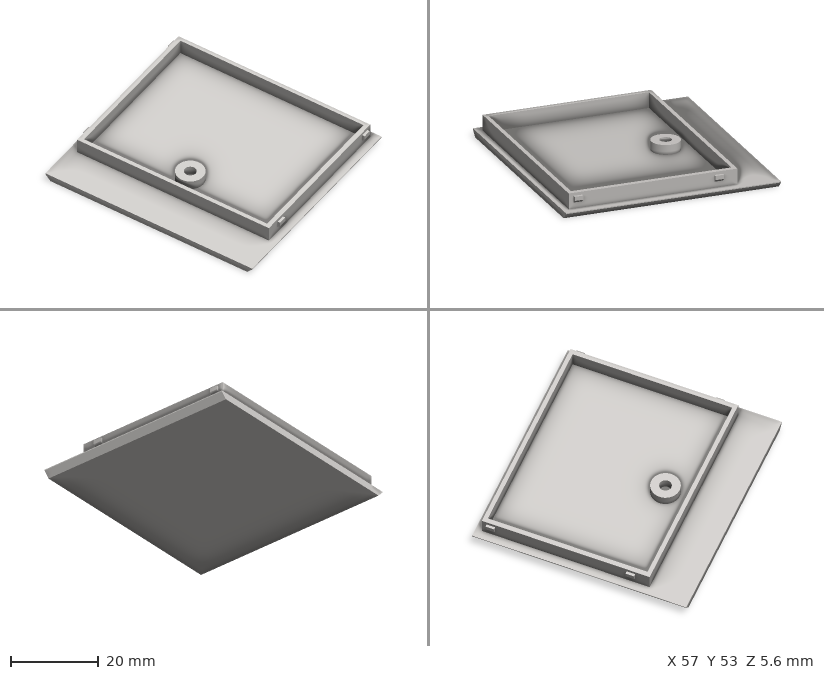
import cadquery as cq

plate_width = 57.0
plate_depth = 53.0
plate_thickness = 1.7
edge_lip = 0.2
bevel_run = 1.4

total_height = 5.6
frame_width = 52.8
frame_depth = 41.55
frame_back_margin = 1.55
side_wall = 1.2
end_wall = 1.0
frame_height = total_height - plate_thickness
frame_back = plate_depth / 2 - frame_back_margin
frame_center_y = frame_back - frame_depth / 2

tab_top_gap = 0.75
tab_back_gap = 1.2
tab_reach = 0.7
tab_length = 2.1
tab_height = 1.65
tab_face_height = 1.0
tab_top_z = total_height - tab_top_gap
back_tab_y = frame_back - tab_back_gap - tab_length / 2
tab_spacing = 34.65

boss_diameter = 7.0
boss_hole_diameter = 2.9
boss_height = 2.4
boss_back_distance = 36.0
boss_y = plate_depth / 2 - boss_back_distance


def make_plate():
    """Plate whose two side edges are bevelled towards the underside."""
    half_width = plate_width / 2
    half_bottom = half_width - bevel_run
    lip_z = plate_thickness - edge_lip
    profile = [
        (-half_bottom, 0),
        (half_bottom, 0),
        (half_width, lip_z),
        (half_width, plate_thickness),
        (-half_width, plate_thickness),
        (-half_width, lip_z),
    ]
    return cq.Workplane("XZ").polyline(profile).close().extrude(plate_depth / 2, both=True)


def make_frame():
    """Thin-walled rectangular rim standing on the plate."""
    return (
        cq.Workplane("XY", origin=(0, frame_center_y, plate_thickness))
        .rect(frame_width, frame_depth)
        .rect(frame_width - 2 * side_wall, frame_depth - 2 * end_wall)
        .extrude(frame_height)
    )


def make_tab(side, center_y):
    """Snap tab on one side wall (side is -1 or 1), sloped underneath."""
    root_x = side * (frame_width / 2 - side_wall / 2)
    wall_x = side * frame_width / 2
    tip_x = wall_x + side * tab_reach
    bottom_z = tab_top_z - tab_height
    profile = [
        (root_x, tab_top_z),
        (tip_x, tab_top_z),
        (tip_x, tab_top_z - tab_face_height),
        (wall_x, bottom_z),
        (root_x, bottom_z),
    ]
    return (
        cq.Workplane("XZ", origin=(0, center_y, 0))
        .polyline(profile)
        .close()
        .extrude(tab_length / 2, both=True)
    )


def make_boss():
    """Round boss with a hole that ends at the plate's top face."""
    return (
        cq.Workplane("XY", origin=(0, boss_y, plate_thickness))
        .circle(boss_diameter / 2)
        .circle(boss_hole_diameter / 2)
        .extrude(boss_height)
    )


result = make_plate().union(make_frame()).union(make_boss())
for side in (-1, 1):
    for tab_y in (back_tab_y, back_tab_y - tab_spacing):
        result = result.union(make_tab(side, tab_y))